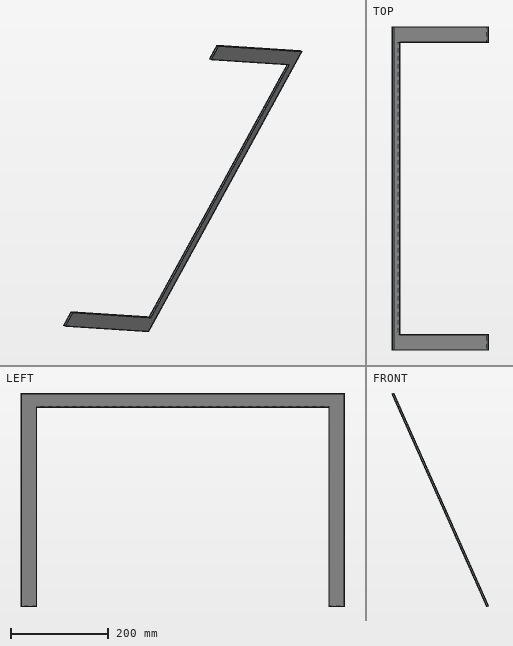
import cadquery as cq

frame_width = 660.5
leg_length = 475.0
leg_width = 32.0
crossbar_width = 30.0
thickness = 4.0
lean_angle = 24.0

opening_width = frame_width - 2 * leg_width
opening_height = leg_length - crossbar_width


def upright_frame():
    """U frame standing on its two legs, with the crossbar on top."""
    plate = cq.Workplane("XY").box(thickness, frame_width, leg_length, centered=(True, True, False))
    opening = cq.Workplane("XY").box(2 * thickness, opening_width, opening_height, centered=(True, True, False))
    return plate.cut(opening)


result = upright_frame().rotate((0, 0, 0), (0, 1, 0), -lean_angle)